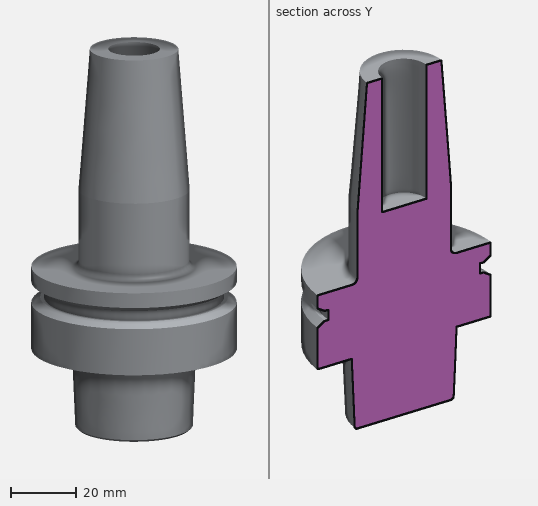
import cadquery as cq

total_height = 120.0
shank_length = 25.0
flange_height = 26.0
flange_top = shank_length + flange_height

shank_end_radius = 18.0
shank_base_radius = 19.1
shank_chamfer = 0.7

flange_radius = 63.0 / 2
groove_floor_radius = 27.6
lower_rim_height = 14.6
upper_rim_height = 4.7
groove_bevel_height = 1.7
groove_lip_radius = 28.8

neck_radius = 17.0
neck_fillet = 1.9
nose_start = 75.5
nose_end_radius = 13.5

bore_radius = 7.9
bore_depth = 46.8


def revolve_profile(points):
    """Revolve a closed (radius, height) outline about the Z axis."""
    return cq.Workplane("XZ").polyline(points).close().revolve(360, (0, 0, 0), (0, 1, 0))


def make_shank():
    shank = revolve_profile([
        (0, 0),
        (shank_end_radius, 0),
        (shank_base_radius, shank_length),
        (0, shank_length),
    ])
    return shank.faces("<Z").edges().chamfer(shank_chamfer)


def make_flange():
    lower_rim_top = shank_length + lower_rim_height
    upper_rim_bottom = flange_top - upper_rim_height
    groove_bottom = lower_rim_top + groove_bevel_height
    groove_top = upper_rim_bottom - groove_bevel_height
    return revolve_profile([
        (0, shank_length),
        (flange_radius, shank_length),
        (flange_radius, lower_rim_top),
        (groove_lip_radius, groove_bottom),
        (groove_floor_radius, groove_bottom),
        (groove_floor_radius, groove_top),
        (groove_lip_radius, groove_top),
        (flange_radius, upper_rim_bottom),
        (flange_radius, flange_top),
        (0, flange_top),
    ])


def make_neck_and_nose():
    root_radius = neck_radius + neck_fillet
    outline = (
        cq.Workplane("XZ")
        .moveTo(0, flange_top)
        .lineTo(root_radius, flange_top)
        .radiusArc((neck_radius, flange_top + neck_fillet), neck_fillet)
        .lineTo(neck_radius, nose_start)
        .lineTo(nose_end_radius, total_height)
        .lineTo(0, total_height)
        .close()
    )
    return outline.revolve(360, (0, 0, 0), (0, 1, 0))


body = make_shank().union(make_flange()).union(make_neck_and_nose())
bore = (
    cq.Workplane("XY")
    .workplane(offset=total_height - bore_depth)
    .circle(bore_radius)
    .extrude(bore_depth)
)
result = body.cut(bore)